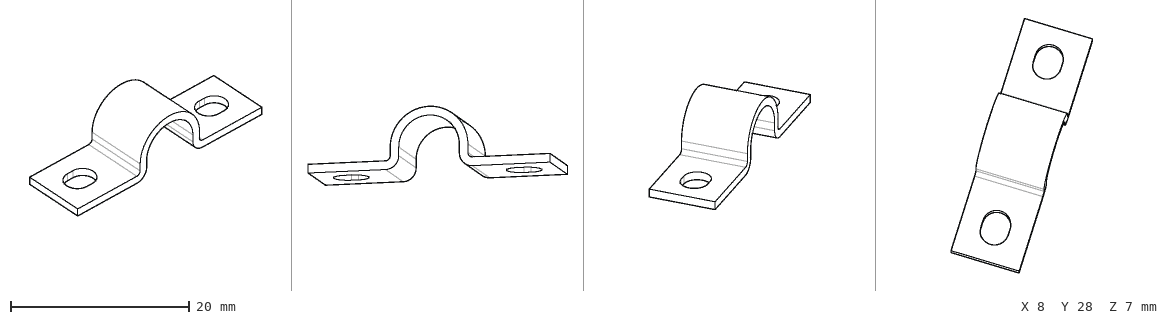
import cadquery as cq

length = 28.0
width = 8.0
height = 7.0
thickness = 1.0

arch_inner_radius = 3.5
arch_outer_radius = arch_inner_radius + thickness
arch_center_z = height - arch_outer_radius
bend_inner_radius = 0.5
bend_outer_radius = bend_inner_radius + thickness

slot_length = 4.0
slot_width = 3.2
slot_spacing = 20.0


def make_strap():
    """Bent sheet: two flat feet joined by a half-round arch."""
    half_length = length / 2
    bend_center_y = arch_outer_radius + bend_inner_radius
    bend_center_z = bend_outer_radius
    profile = (
        cq.Workplane("YZ")
        .moveTo(-half_length, 0)
        .lineTo(-bend_center_y, 0)
        .radiusArc((-arch_inner_radius, bend_center_z), -bend_outer_radius)
        .lineTo(-arch_inner_radius, arch_center_z)
        .threePointArc((0, arch_center_z + arch_inner_radius), (arch_inner_radius, arch_center_z))
        .lineTo(arch_inner_radius, bend_center_z)
        .radiusArc((bend_center_y, 0), -bend_outer_radius)
        .lineTo(half_length, 0)
        .lineTo(half_length, thickness)
        .lineTo(bend_center_y, thickness)
        .radiusArc((arch_outer_radius, bend_center_z), bend_inner_radius)
        .lineTo(arch_outer_radius, arch_center_z)
        .threePointArc((0, height), (-arch_outer_radius, arch_center_z))
        .lineTo(-arch_outer_radius, bend_center_z)
        .radiusArc((-bend_center_y, thickness), bend_inner_radius)
        .lineTo(-half_length, thickness)
        .close()
    )
    return profile.extrude(width / 2, both=True)


def make_slots():
    """Cutters for the through slot in each foot."""
    return (
        cq.Workplane("XY")
        .pushPoints([(0, -slot_spacing / 2), (0, slot_spacing / 2)])
        .slot2D(slot_length, slot_width, angle=90)
        .extrude(thickness)
    )


result = make_strap().cut(make_slots())